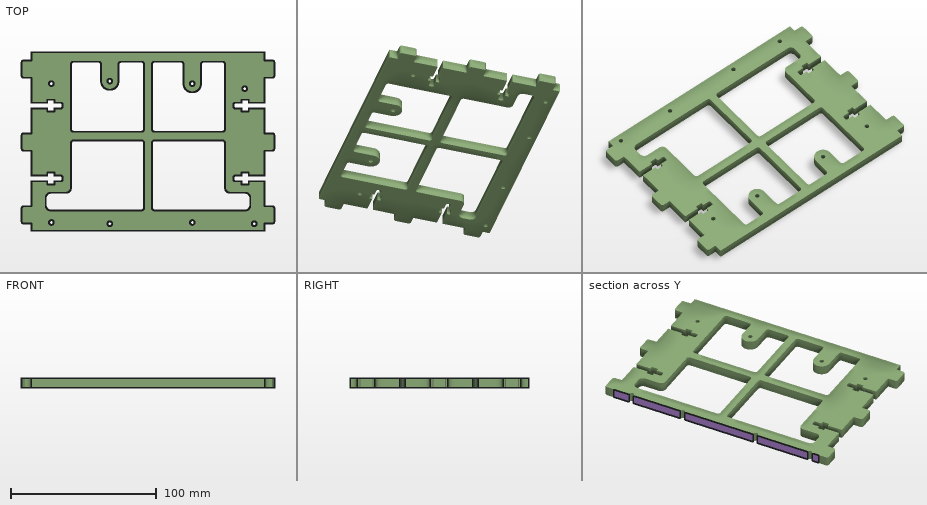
import cadquery as cq

overall_length = 173.6
plate_width = 122.5
thickness = 6.8
tab_reach = thickness
body_length = overall_length - 2 * tab_reach
body_edge = body_length / 2

joint_pitch = 50.0
joint_center_y = -0.3
tab_width = 12.0
tab_radius = 1.5

slot_depth = 21.4
slot_width = 3.8
slot_end_radius = 1.0
nut_inset = 11.0
nut_thickness = 4.9
nut_width = 8.0

window_outer_x = 52.8
center_bar = 5.5
window_top_y = 54.7
middle_bar_top_y = 6.8
middle_bar = 6.0
window_bottom_y = -47.2
window_radius = 1.7

foot_outer_x = 70.1
foot_top_y = -35.2
foot_radius = 3.5

tongue_width = 12.2
tongue_holes = [(-26.2, 41.5), (30.4, 39.8)]

hole_diameter = 3.1
plate_holes = [
    (-66.3, 39.8),
    (66.3, 36.3),
    (-66.3, -55.5),
    (-26.2, -56.5),
    (30.4, -55.5),
    (72.9, -56.5),
]


def block(x_start, x_end, y_start, y_end):
    """Full-thickness block between two opposite corners."""
    return (
        cq.Workplane("XY")
        .moveTo((x_start + x_end) / 2, (y_start + y_end) / 2)
        .rect(abs(x_end - x_start), abs(y_end - y_start))
        .extrude(thickness)
    )


def tab(side, center_y):
    """Edge tab with rounded outer corners; side is -1 (left) or 1 (right)."""
    half_width = tab_width / 2
    shape = block(
        side * body_edge,
        side * overall_length / 2,
        center_y - half_width,
        center_y + half_width,
    )
    outer_face = ">X" if side > 0 else "<X"
    return shape.faces(outer_face).edges("|Z").fillet(tab_radius)


def nut_slot(side, center_y):
    """Screw slot with a rounded inner end, crossed by a nut pocket."""
    slot = block(
        side * overall_length / 2,
        side * (body_edge - slot_depth),
        center_y - slot_width / 2,
        center_y + slot_width / 2,
    )
    inner_face = "<X" if side > 0 else ">X"
    slot = slot.faces(inner_face).edges("|Z").fillet(slot_end_radius)
    nut_pocket = block(
        side * (body_edge - nut_inset),
        side * (body_edge - nut_inset - nut_thickness),
        center_y - nut_width / 2,
        center_y + nut_width / 2,
    )
    return slot.union(nut_pocket)


def upper_window(side, tongue_hole):
    """Upper window with rounded corners, leaving a round-tipped tongue."""
    hole_x, hole_y = tongue_hole
    half_width = tongue_width / 2
    window = block(side * center_bar / 2, side * window_outer_x, middle_bar_top_y, window_top_y)
    stem = block(hole_x - half_width, hole_x + half_width, hole_y, window_top_y)
    tip = cq.Workplane("XY").center(hole_x, hole_y).circle(half_width).extrude(thickness)
    window = window.faces("<Y").edges("|Z").fillet(window_radius)
    opening = window.cut(stem).cut(tip)
    return opening.faces(">Y").edges("|Z").fillet(window_radius)


def lower_window(side):
    """L-shaped lower window with small bar corners and larger foot corners."""
    inner_x = side * center_bar / 2
    outer_x = side * window_outer_x
    top_y = middle_bar_top_y - middle_bar
    main = block(inner_x, outer_x, window_bottom_y, top_y)
    foot = block(inner_x, side * foot_outer_x, window_bottom_y, foot_top_y)
    opening = main.union(foot)
    foot_face = ">X" if side > 0 else "<X"
    bar_face = "<X" if side > 0 else ">X"
    opening = opening.faces(foot_face).edges("|Z").fillet(foot_radius)
    step_corner = cq.selectors.NearestToPointSelector((outer_x, foot_top_y, thickness / 2))
    opening = opening.edges("|Z").edges(step_corner).fillet(foot_radius)
    opening = opening.faces(bar_face).edges("|Z").fillet(window_radius)
    top_corner = cq.selectors.NearestToPointSelector((outer_x, top_y, thickness / 2))
    return opening.edges("|Z").edges(top_corner).fillet(window_radius)


plate = block(-body_edge, body_edge, -plate_width / 2, plate_width / 2)

for side in (-1, 1):
    for row in (-1, 0, 1):
        plate = plate.union(tab(side, joint_center_y + row * joint_pitch))
    for row in (-0.5, 0.5):
        plate = plate.cut(nut_slot(side, joint_center_y + row * joint_pitch))
    plate = plate.cut(lower_window(side))

for side, tongue_hole in zip((-1, 1), tongue_holes):
    plate = plate.cut(upper_window(side, tongue_hole))

screw_holes = (
    cq.Workplane("XY")
    .pushPoints(plate_holes + tongue_holes)
    .circle(hole_diameter / 2)
    .extrude(thickness)
)

result = plate.cut(screw_holes)